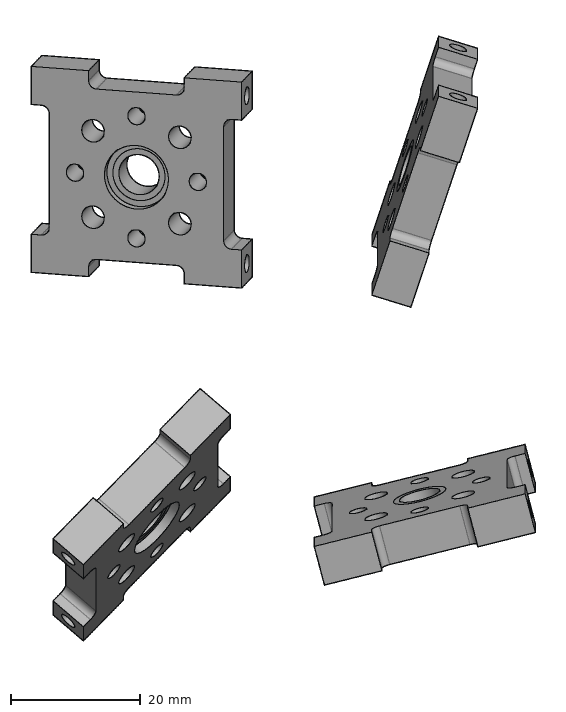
import cadquery as cq
import math

width = 33.53
height = 33.03
thickness = 6.35

end_notch_length = 15.22
side_notch_length = 20.8
notch_depth = 2.85
notch_radius = 1.25

bolt_circle_radius = 9.8
small_hole_diameter = 2.75
large_hole_diameter = 3.6

counterbore_diameter = 10.2
counterbore_depth = 1.5
bushing_diameter = 8.3
bushing_bore = 6.4
bushing_length = thickness - counterbore_depth

corner_hole_diameter = 2.75
corner_hole_depth = 6.7
drill_point_angle = 118.0
corner_hole_z = (height + side_notch_length) / 4

front_y = -thickness / 2
seat_y = front_y + counterbore_depth


def cylinder_along_y(diameter, start_y, length, x=0.0, z=0.0):
    """Cylinder running toward +Y from start_y."""
    return cq.Workplane(cq.Solid.makeCylinder(
        diameter / 2, length, cq.Vector(x, start_y, z), cq.Vector(0, 1, 0)))


def make_blank():
    """Plate with a round-cornered notch in each of its four sides."""
    blank = cq.Workplane().box(width, thickness, height)
    end_cutter = cq.Workplane().box(end_notch_length, thickness, 2 * notch_depth)
    end_cutter = end_cutter.edges("|Y").fillet(notch_radius)
    side_cutter = cq.Workplane().box(2 * notch_depth, thickness, side_notch_length)
    side_cutter = side_cutter.edges("|Y").fillet(notch_radius)
    for side in (-1, 1):
        blank = blank.cut(end_cutter.translate((0, 0, side * height / 2)))
        blank = blank.cut(side_cutter.translate((side * width / 2, 0, 0)))
    return blank


def cut_face_holes(plate):
    """Through holes: small ones on the X and Z axes, large ones on the diagonals."""
    for start_angle, diameter in ((0, small_hole_diameter), (45, large_hole_diameter)):
        for quarter in range(4):
            angle = math.radians(start_angle + 90 * quarter)
            x = bolt_circle_radius * math.cos(angle)
            z = bolt_circle_radius * math.sin(angle)
            plate = plate.cut(cylinder_along_y(diameter, front_y, thickness, x, z))
    return plate


def cut_bushing_seat(plate):
    """Central through hole with a counterbore in the front face."""
    plate = plate.cut(cylinder_along_y(counterbore_diameter, front_y, counterbore_depth))
    return plate.cut(cylinder_along_y(bushing_diameter, front_y, thickness))


def cut_corner_holes(plate):
    """Blind holes along X with conical bottoms, one in each corner block."""
    radius = corner_hole_diameter / 2
    point_length = radius / math.tan(math.radians(drill_point_angle / 2))
    for side in (-1, 1):
        inward = cq.Vector(-side, 0, 0)
        cone_x = side * (width / 2 - corner_hole_depth)
        for z in (-corner_hole_z, corner_hole_z):
            mouth = cq.Vector(side * width / 2, 0, z)
            plate = plate.cut(cq.Workplane(
                cq.Solid.makeCylinder(radius, corner_hole_depth, mouth, inward)))
            plate = plate.cut(cq.Workplane(
                cq.Solid.makeCone(radius, 0, point_length, cq.Vector(cone_x, 0, z), inward)))
    return plate


def make_plate():
    plate = make_blank()
    plate = cut_face_holes(plate)
    plate = cut_bushing_seat(plate)
    return cut_corner_holes(plate)


def make_bushing():
    """Plain sleeve from the counterbore floor to the back face."""
    sleeve = cylinder_along_y(bushing_diameter, seat_y, bushing_length)
    return sleeve.cut(cylinder_along_y(bushing_bore, seat_y, bushing_length))


plate = make_plate()
bushing = make_bushing()

result = cq.Compound.makeCompound([plate.solids().val(), bushing.solids().val()])